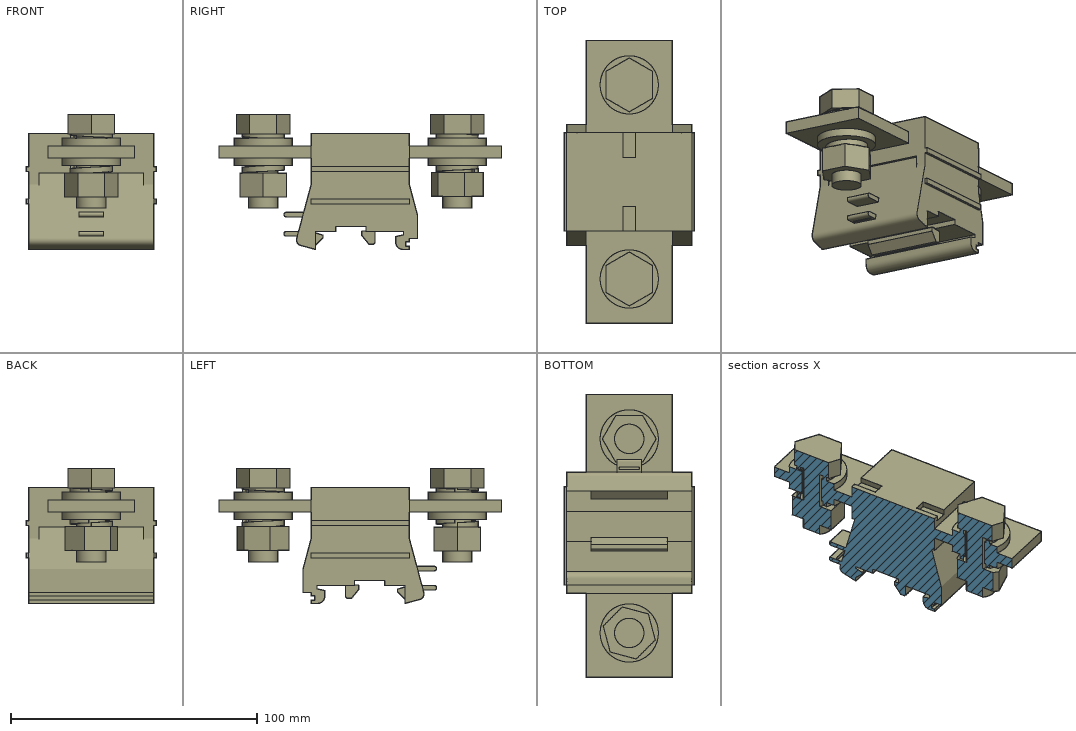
import cadquery as cq
import math

body_width = 50.8
body_half_depth = 20.0
body_top = 47.3
flank_start = 26.3
flank_slope = math.tan(math.radians(15))
rear_foot_y = 23.3
rear_foot_bottom = 4.5
claw_radius = 3.0
claw_tip_y = 14.4
claw_tip_top = 5.3
claw_root_y = 17.5
claw_root_z = 6.0
claw_notch_y = 18.5
claw_notch_bottom = 1.4
claw_notch_top = 3.1
front_corner_diameter = 4.7

seat_height = 7.2
seat_front_y = -18.2
relief_height = 9.3
relief_rear_y = 2.3
relief_front_y = -9.9
foot_rear_y = 6.1
foot_front_y = 0.6
foot_bottom = 2.1
foot_rear_chamfer = 0.7
foot_sole_front_y = 3.6
foot_nose_bottom = 5.8
foot_top = 7.6
foot_nose_chamfer = 0.2
tooth_tip_y = -15.1
tooth_tip_bottom = 4.8
tooth_tip_top = 5.9
tooth_root_bottom = 1.7
tooth_root_top = 6.8
tooth_overlap = 1.2
rail_part_width = 31.0

recess_width = 42.4
recess_top = 31.0

notch_width = 5.0
notch_length = 10.0
notch_depth = 2.3
rib_height = 2.1
rib_projection = 1.09
rib_centres = (19.5, 32.7)

tab_width = 10.1
tab_thickness = 2.0
tab_end_y = -31.0
tab_root_y = -20.7
upper_tab_top = 15.2
lower_tab_top = 7.4
tab_slot_length = 8.3
tab_slot_width = 1.0
tab_slot_y = -27.5

bar_length = 115.0
bar_width = 35.0
bar_thickness = 5.0
bar_centre_z = 39.7

bolt_y = 39.5
clearance_diameter = 13.0
shank_diameter = 12.0
shank_bottom = 16.8
hex_across_flats = 19.0
head_bottom = 46.9
head_height = 8.0
head_corner_angle = 90
nut_height = 9.8
washer_diameter = 23.7
washer_thickness = 3.1
spring_outer_diameter = 17.1
spring_inner_diameter = 14.0
spring_thickness = 2.3
spring_pitch = 2.3
spring_gap_angle = 7.0
spring_start = 30.6


def extrude_profile(profile, width):
    """Extrude a Y-Z profile symmetrically about X = 0."""
    return profile.close().extrude(width / 2, both=True)


def box_between(x_size, y_range, z_range):
    """Box centred on X = 0 between two Y and two Z limits."""
    y_low, y_high = y_range
    z_low, z_high = z_range
    box = cq.Workplane("XY").box(x_size, y_high - y_low, z_high - z_low)
    return box.translate((0, (y_low + y_high) / 2, (z_low + z_high) / 2))


def make_housing():
    flank_foot_y = body_half_depth + flank_slope * flank_start
    toe_depth = (flank_foot_y + seat_front_y) / (1 + flank_slope**2)
    toe_y = seat_front_y - toe_depth
    toe_z = flank_slope * toe_depth
    rear_flank_end = flank_start - (rear_foot_y - body_half_depth) / flank_slope

    claw_centre_y = claw_tip_y + claw_radius
    diagonal = claw_radius * math.sqrt(0.5)

    profile = (
        cq.Workplane("YZ")
        .moveTo(-body_half_depth, body_top)
        .lineTo(body_half_depth, body_top)
        .lineTo(body_half_depth, flank_start)
        .lineTo(rear_foot_y, rear_flank_end)
        .lineTo(rear_foot_y, rear_foot_bottom)
        .lineTo(body_half_depth, rear_foot_bottom)
        .lineTo(body_half_depth, claw_notch_top)
        .lineTo(claw_notch_y, claw_notch_top)
        .lineTo(claw_notch_y, claw_notch_bottom)
        .lineTo(body_half_depth, claw_notch_bottom)
        .lineTo(body_half_depth, 0)
        .lineTo(claw_centre_y, 0)
        .threePointArc(
            (claw_centre_y - diagonal, claw_radius - diagonal),
            (claw_tip_y, claw_radius),
        )
        .lineTo(claw_tip_y, claw_tip_top)
        .lineTo(claw_root_y, claw_root_z)
        .lineTo(claw_root_y, seat_height)
        .lineTo(relief_rear_y, seat_height)
        .lineTo(relief_rear_y, relief_height)
        .lineTo(relief_front_y, relief_height)
        .lineTo(relief_front_y, seat_height)
        .lineTo(seat_front_y, seat_height)
        .lineTo(seat_front_y, 0)
        .lineTo(toe_y, toe_z)
        .lineTo(-body_half_depth, flank_start)
    )
    housing = extrude_profile(profile, body_width)
    toe_edge = cq.selectors.NearestToPointSelector((0, toe_y, toe_z))
    return housing.edges("|X").edges(toe_edge).fillet(front_corner_diameter / 2)


def make_latch_foot():
    profile = (
        cq.Workplane("YZ")
        .moveTo(foot_rear_y, relief_height)
        .lineTo(foot_rear_y, foot_bottom + foot_rear_chamfer)
        .lineTo(foot_rear_y - foot_rear_chamfer, foot_bottom)
        .lineTo(foot_sole_front_y, foot_bottom)
        .lineTo(foot_front_y, foot_nose_bottom)
        .lineTo(foot_front_y, foot_top - foot_nose_chamfer)
        .lineTo(foot_front_y + foot_nose_chamfer, foot_top)
        .lineTo(relief_rear_y, foot_top)
        .lineTo(relief_rear_y, relief_height)
    )
    return extrude_profile(profile, rail_part_width)


def make_latch_tooth():
    root_y = seat_front_y - tooth_overlap
    profile = (
        cq.Workplane("YZ")
        .moveTo(root_y, tooth_root_bottom)
        .lineTo(seat_front_y, tooth_root_bottom)
        .lineTo(tooth_tip_y, tooth_tip_bottom)
        .lineTo(tooth_tip_y, tooth_tip_top)
        .lineTo(seat_front_y, tooth_root_top)
        .lineTo(root_y, tooth_root_top)
    )
    return extrude_profile(profile, rail_part_width)


def make_flank_recess():
    """Wedge that carries the front flank plane up to the recess top."""
    inner_y = -body_half_depth + flank_slope * (recess_top - flank_start)
    profile = (
        cq.Workplane("YZ")
        .moveTo(-body_half_depth, flank_start)
        .lineTo(-body_half_depth, recess_top)
        .lineTo(inner_y, recess_top)
    )
    return extrude_profile(profile, recess_width)


def make_notch():
    y_range = (-body_half_depth, notch_length - body_half_depth)
    return box_between(notch_width, y_range, (body_top - notch_depth, body_top))


def make_rib_pair(centre_z):
    """One bar through the housing that stands proud of both side faces."""
    return box_between(
        body_width + 2 * rib_projection,
        (-body_half_depth, body_half_depth),
        (centre_z - rib_height / 2, centre_z + rib_height / 2),
    )


def make_tab(top_z):
    """Flat tab with a fully rounded end."""
    bottom_z = top_z - tab_thickness
    middle_z = (top_z + bottom_z) / 2
    round_start_y = tab_end_y + tab_thickness / 2
    profile = (
        cq.Workplane("YZ")
        .moveTo(tab_root_y, top_z)
        .lineTo(round_start_y, top_z)
        .threePointArc((tab_end_y, middle_z), (round_start_y, bottom_z))
        .lineTo(tab_root_y, bottom_z)
    )
    return extrude_profile(profile, tab_width)


def make_tab_slot():
    slot = cq.Workplane("XY").center(0, tab_slot_y).slot2D(tab_slot_length, tab_slot_width)
    return slot.extrude(lower_tab_top)


def make_hexagon(bottom_z, height, corner_angle):
    corner_diameter = hex_across_flats / math.cos(math.pi / 6)
    hexagon = cq.Workplane("XY").polygon(6, corner_diameter).extrude(height)
    return hexagon.rotate((0, 0, 0), (0, 0, 1), corner_angle).translate((0, 0, bottom_z))


def make_spring_ring(split_angle):
    """Lower split ring: just under one rising turn of a rectangular section."""
    mean_radius = (spring_outer_diameter + spring_inner_diameter) / 4
    section_width = (spring_outer_diameter - spring_inner_diameter) / 2
    climb = spring_pitch * (1 - spring_gap_angle / 360)
    path = cq.Wire.makeHelix(spring_pitch, climb, mean_radius)
    ring = (
        cq.Workplane("XZ")
        .center(mean_radius, 0)
        .rect(section_width, spring_thickness)
        .sweep(cq.Workplane(path), isFrenet=True)
    )
    section_start_z = spring_start + spring_thickness / 2
    return ring.rotate((0, 0, 0), (0, 0, 1), split_angle).translate((0, 0, section_start_z))


def make_bolt_set(split_angle, nut_angle, nut_top):
    """Bolt, nut, flat washers and split rings on the Z axis."""
    washer_stack = bar_thickness + 2 * washer_thickness
    washers = (
        cq.Workplane("XY", origin=(0, 0, bar_centre_z - washer_stack / 2))
        .circle(washer_diameter / 2)
        .circle(clearance_diameter / 2)
        .extrude(washer_stack)
    )
    lower_ring = make_spring_ring(split_angle)
    upper_ring = lower_ring.mirror("XY", (0, 0, bar_centre_z))
    shank = (
        cq.Workplane("XY", origin=(0, 0, shank_bottom))
        .circle(shank_diameter / 2)
        .extrude(head_bottom - shank_bottom)
    )
    head = make_hexagon(head_bottom, head_height, head_corner_angle)
    nut = make_hexagon(nut_top - nut_height, nut_height, nut_angle)
    return washers.union(lower_ring).union(upper_ring).union(shank).union(head).union(nut)


body = make_housing()
for cutter in (make_flank_recess(), make_notch()):
    body = body.cut(cutter).cut(cutter.mirror("XZ"))
for rib_z in rib_centres:
    body = body.union(make_rib_pair(rib_z))
body = body.union(make_latch_foot()).union(make_latch_tooth())
body = body.union(make_tab(upper_tab_top))
body = body.union(make_tab(lower_tab_top).cut(make_tab_slot()))

busbar = (
    cq.Workplane("XY")
    .box(bar_width, bar_length, bar_thickness)
    .faces(">Z")
    .workplane()
    .pushPoints([(0, -bolt_y), (0, bolt_y)])
    .hole(clearance_diameter)
    .translate((0, 0, bar_centre_z))
)

front_bolt = make_bolt_set(split_angle=180, nut_angle=0, nut_top=31.0)
rear_bolt = make_bolt_set(split_angle=90, nut_angle=15, nut_top=31.4)

terminals = (
    busbar.union(front_bolt.translate((0, -bolt_y, 0)))
    .union(rear_bolt.translate((0, bolt_y, 0)))
)

result = body.union(terminals)